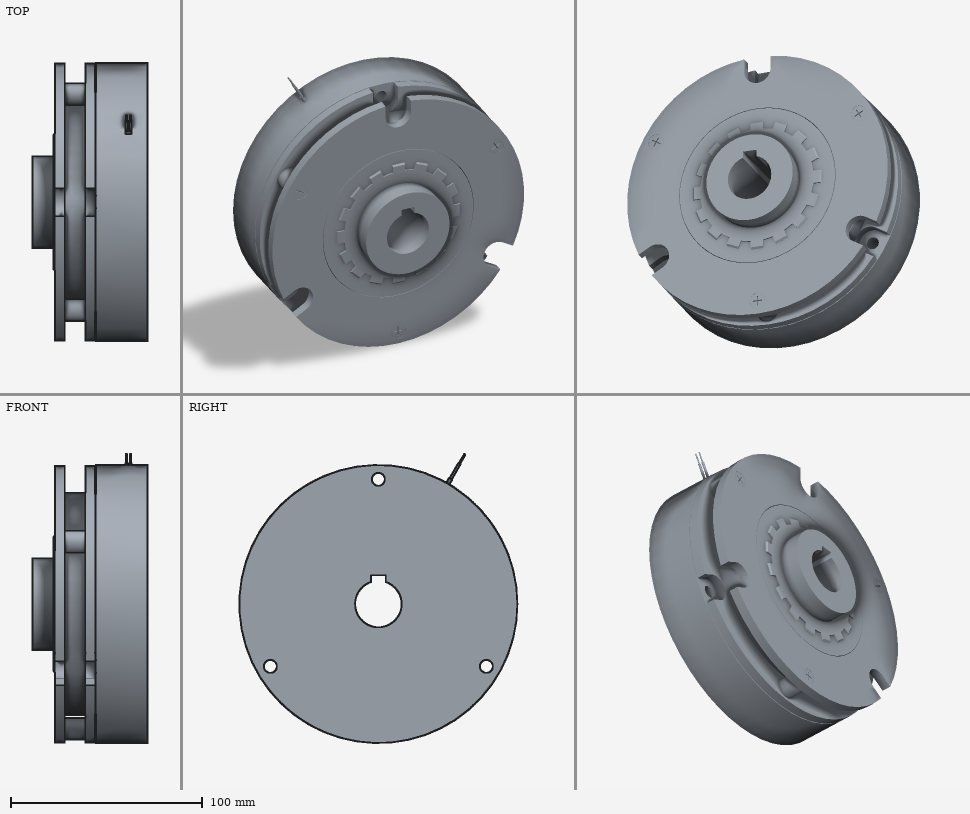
import cadquery as cq
import math


overall_height = 150.7

hub_front = 0.0
spline_front = 10.8
flange_front = 11.8
plate_thickness = 5.1
armature_front = 27.5
body_front = 33.0
body_back = 60.0
flange_back = flange_front + plate_thickness
armature_back = armature_front + plate_thickness

body_radius = 72.5
plate_radius = 72.3
disc_radius = 58.0
gap_core_radius = 57.3
hub_radius = 24.0
bore_radius = 12.0

keyway_width = 7.5
keyway_top = 14.9

ring_outer_radius = 43.4
ring_width = 0.3

tooth_count = 16
tooth_width = 7.0
spline_root_radius = 31.5
spline_tip_radius = 35.7
spline_height = flange_front - spline_front
tooth_chamfer = 0.95 * spline_height

bolt_circle_radius = 65.0
mount_angles = (90, 210, 330)
screw_angles = (30, 150, 270)
mount_hole_diameter = 6.6
slot_width = 14.5
spacer_diameter = 11.5
screw_head_diameter = 8.7
screw_head_sink = 0.2
cross_length = 5.3
cross_width = 0.6
cross_depth = 1.2

wire_angle = 60
wire_spacing = 2.3
wire_middle_x = 50.0
wire_root = body_radius - 1.5
grommet_end = 75.3
sleeve_end = 84.4
sleeve_diameter = 1.4
grommet_thickness = 2.0
core_diameter = 0.8

wire_slant = math.radians(wire_angle)
wire_tip_z = overall_height - body_radius
wire_end = (wire_tip_z - core_diameter / 2 * math.cos(wire_slant)) / math.sin(wire_slant)


def plane_at(x):
    """Workplane across the shaft, with local x along Y and local y along Z."""
    return cq.Workplane("YZ", origin=(x, 0, 0))


def disk(radius, start, end):
    return plane_at(start).circle(radius).extrude(end - start)


def on_bolt_circle(x, angles):
    """Workplane at x with points at the given angles of the bolt circle."""
    points = [
        (
            bolt_circle_radius * math.cos(math.radians(angle)),
            bolt_circle_radius * math.sin(math.radians(angle)),
        )
        for angle in angles
    ]
    return plane_at(x).pushPoints(points)


def around_axis(shape, angle):
    """Turn a shape about the shaft, from local x towards local y."""
    return shape.rotate((0, 0, 0), (1, 0, 0), angle)


def slotted_plate(start, end):
    """Round plate with an open-ended slot at every mounting hole."""
    plate = disk(plate_radius, start, end)
    slot_end = (
        plane_at(start)
        .center(bolt_circle_radius, 0)
        .circle(slot_width / 2)
        .extrude(end - start)
    )
    slot_mouth = (
        plane_at(start)
        .center(bolt_circle_radius + slot_width / 2, 0)
        .rect(slot_width, slot_width)
        .extrude(end - start)
    )
    slot = slot_end.union(slot_mouth)
    for angle in mount_angles:
        plate = plate.cut(around_axis(slot, angle))
    return plate


def hub_spline():
    """Toothed collar whose tooth tips are chamfered towards the front."""
    collar = disk(spline_root_radius, spline_front, flange_front)
    tooth = (
        plane_at(spline_front)
        .center(spline_tip_radius / 2, 0)
        .rect(spline_tip_radius, tooth_width)
        .extrude(spline_height)
        .faces(">Y")
        .edges("<X")
        .chamfer(tooth_chamfer)
    )
    for index in range(tooth_count):
        collar = collar.union(around_axis(tooth, index * 360 / tooth_count))
    return collar


def bore_with_keyway():
    length = body_back - hub_front
    keyway = (
        plane_at(hub_front)
        .center(0, keyway_top / 2)
        .rect(keyway_width, keyway_top)
        .extrude(length)
    )
    return disk(bore_radius, hub_front, body_back).union(keyway)


def screw_recess(angle):
    """Sunken screw head with a cross recess, aligned radially."""
    start = plane_at(flange_front).center(bolt_circle_radius, 0)
    head = start.circle(screw_head_diameter / 2).extrude(screw_head_sink)
    arm_along = start.rect(cross_length, cross_width).extrude(cross_depth)
    arm_across = start.rect(cross_width, cross_length).extrude(cross_depth)
    return around_axis(head.union(arm_along).union(arm_across), angle)


def lead_wires():
    """Two sleeved wires with bare ends, joined by a flat grommet at the body."""
    root = cq.Workplane("XZ", origin=(wire_middle_x, wire_root, 0))
    grommet = (
        root
        .slot2D(wire_spacing + sleeve_diameter, grommet_thickness)
        .extrude(wire_root - grommet_end)
    )
    wire_centres = [(-wire_spacing / 2, 0), (wire_spacing / 2, 0)]
    wires = root.pushPoints(wire_centres)
    sleeves = wires.circle(sleeve_diameter / 2).extrude(wire_root - sleeve_end)
    cores = wires.circle(core_diameter / 2).extrude(wire_root - wire_end)
    return around_axis(grommet.union(sleeves).union(cores), wire_angle)


brake = disk(body_radius, body_front, body_back)
brake = brake.union(disk(gap_core_radius, armature_back, body_front))
brake = brake.union(disk(disc_radius, flange_back, armature_front))
brake = brake.union(slotted_plate(flange_front, flange_back))
brake = brake.union(slotted_plate(armature_front, armature_back))

spacers = on_bolt_circle(flange_back, screw_angles).circle(spacer_diameter / 2)
brake = brake.union(spacers.extrude(armature_front - flange_back))

clearance_ring = (
    plane_at(flange_front)
    .circle(ring_outer_radius)
    .circle(ring_outer_radius - ring_width)
    .extrude(plate_thickness)
)
brake = brake.cut(clearance_ring)

brake = brake.union(hub_spline())
brake = brake.union(disk(hub_radius, hub_front, spline_front))
brake = brake.cut(bore_with_keyway())

mount_holes = on_bolt_circle(body_front, mount_angles).circle(mount_hole_diameter / 2)
brake = brake.cut(mount_holes.extrude(body_back - body_front))

for screw_angle in screw_angles:
    brake = brake.cut(screw_recess(screw_angle))

result = brake.union(lead_wires())